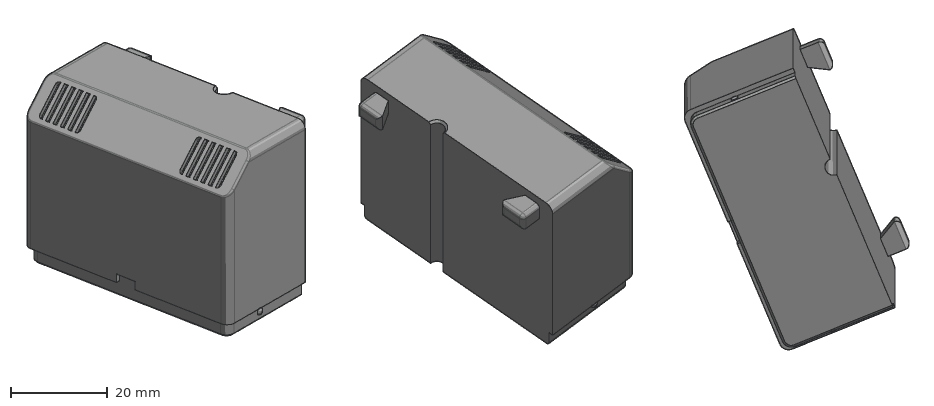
import cadquery as cq


WIDTH = 55.0
HEIGHT = 41.5
TOTAL_DEPTH = 30.0
HOOK_REACH = 5.0
DEPTH = TOTAL_DEPTH - HOOK_REACH
CORNER_RADIUS = 2.0

SLOPE_LEG = 8.0
SLOPE_NORMAL = cq.Vector(0, -1, 1)
SLOPE_EDGE_RADIUS = 0.5

BASE_HEIGHT = 3.65
BASE_INSET = 1.0
BASE_CHAMFER = 0.5

NOTCH_WIDTH = 5.0
NOTCH_HEIGHT = 2.0

SLOT_COUNT = 6
SLOT_WIDTH = 1.0
SLOT_PITCH = 2.0
SLOT_LENGTH = 8.65
SLOT_DEPTH = 1.0
VENT_CORNER_RADIUS = 0.8
VENT_OFFSET = 18.8
VENT_WIDTH = (SLOT_COUNT - 1) * SLOT_PITCH + SLOT_WIDTH

GROOVE_X = 5.7
GROOVE_RADIUS = 1.75
GROOVE_CHAMFER = 0.5

HOOK_OUTER_X = 23.75
HOOK_TIP_WIDTH = 6.3
HOOK_ROOT_WIDTH = 4.1
HOOK_TIP_LENGTH = 1.05
HOOK_HEIGHT = 3.95
HOOK_DROP = 2.0
HOOK_RADIUS = 1.0
HOOK_EMBED = 0.55

BUMP_RADIUS = 1.0
BUMP_PROTRUSION = 0.45
BUMP_Y = -13.55
BUMP_Z = 2.1


def make_housing():
    """Block with rounded outer edges and a 45 degree slope at the top front."""
    body = (
        cq.Workplane("XY")
        .box(WIDTH, DEPTH, HEIGHT - BASE_HEIGHT, centered=(True, False, False))
        .translate((0, -DEPTH, BASE_HEIGHT))
        .edges("(<Y and |Z) or (>Z and |Y)")
        .fillet(CORNER_RADIUS)
    )
    slope_waste = (
        cq.Workplane("YZ")
        .moveTo(-DEPTH, HEIGHT - SLOPE_LEG)
        .lineTo(-DEPTH, HEIGHT)
        .lineTo(SLOPE_LEG - DEPTH, HEIGHT)
        .close()
        .extrude(WIDTH / 2, both=True)
    )
    notch = (
        cq.Workplane("XY")
        .box(NOTCH_WIDTH, BASE_INSET, NOTCH_HEIGHT, centered=(True, False, False))
        .translate((0, -DEPTH, BASE_HEIGHT))
    )
    slope_rim = body.cut(slope_waste).faces(cq.selectors.DirectionNthSelector(SLOPE_NORMAL, -1)).edges()
    return slope_rim.fillet(SLOPE_EDGE_RADIUS).cut(notch)


def make_base():
    """Plate set in from the housing on the front and sides, chamfered below."""
    return (
        cq.Workplane("XY")
        .box(WIDTH - 2 * BASE_INSET, DEPTH - BASE_INSET, BASE_HEIGHT, centered=(True, False, False))
        .translate((0, BASE_INSET - DEPTH, 0))
        .edges("<Y and |Z")
        .fillet(CORNER_RADIUS)
        .faces("<Z")
        .edges("not >Y")
        .chamfer(BASE_CHAMFER)
    )


def make_vent(center_x):
    """Slots sunk square to the slope, trimmed to a rounded rectangle."""
    slope_middle = (center_x, SLOPE_LEG / 2 - DEPTH, HEIGHT - SLOPE_LEG / 2)
    slope = cq.Workplane(cq.Plane(origin=slope_middle, xDir=(1, 0, 0), normal=SLOPE_NORMAL))
    slots = (
        slope.rarray(SLOT_PITCH, SLOT_LENGTH, SLOT_COUNT, 1)
        .rect(SLOT_WIDTH, SLOT_LENGTH)
        .extrude(-SLOT_DEPTH)
    )
    outline = (
        slope.rect(VENT_WIDTH, SLOT_LENGTH)
        .extrude(-SLOT_DEPTH)
        .edges(cq.selectors.ParallelDirSelector(SLOPE_NORMAL))
        .fillet(VENT_CORNER_RADIUS)
    )
    return slots.intersect(outline)


def make_groove():
    """Half-round channel along the back, flared at the top."""
    channel = cq.Workplane("XY").center(GROOVE_X, 0).circle(GROOVE_RADIUS).extrude(HEIGHT)
    flare = cq.Workplane("XY").add(
        cq.Solid.makeCone(
            GROOVE_RADIUS,
            GROOVE_RADIUS + GROOVE_CHAMFER,
            GROOVE_CHAMFER,
            pnt=cq.Vector(GROOVE_X, 0, HEIGHT - GROOVE_CHAMFER),
        )
    )
    return channel.union(flare)


def make_hook():
    """Left hook: undercut on its inner side, rounded at its end and top outer edge."""
    outer_x = -HOOK_OUTER_X
    hook = (
        cq.Workplane("XY")
        .workplane(offset=HEIGHT - HOOK_DROP - HOOK_HEIGHT)
        .moveTo(outer_x, -HOOK_EMBED)
        .lineTo(outer_x, HOOK_REACH)
        .lineTo(outer_x + HOOK_TIP_WIDTH, HOOK_REACH)
        .lineTo(outer_x + HOOK_TIP_WIDTH, HOOK_REACH - HOOK_TIP_LENGTH)
        .lineTo(outer_x + HOOK_ROOT_WIDTH, 0)
        .lineTo(outer_x + HOOK_ROOT_WIDTH, -HOOK_EMBED)
        .close()
        .extrude(HOOK_HEIGHT)
    )
    return hook.edges(">Y or (<X and >Z)").fillet(HOOK_RADIUS)


def make_bump():
    """Left latch bump: a ball partly sunk into the base."""
    center_x = BASE_INSET - WIDTH / 2 + BUMP_RADIUS - BUMP_PROTRUSION
    return cq.Workplane("XY").sphere(BUMP_RADIUS).translate((center_x, BUMP_Y, BUMP_Z))


result = make_housing().union(make_base())
for left_part in (make_hook(), make_bump()):
    result = result.union(left_part).union(left_part.mirror("YZ"))
for side in (-1, 1):
    result = result.cut(make_vent(side * VENT_OFFSET))
result = result.cut(make_groove())